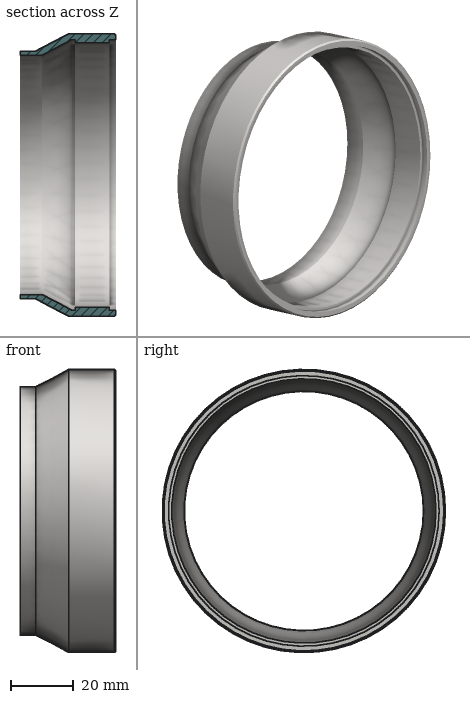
import cadquery as cq

total_length = 30.5

collar_diameter = 79.0
collar_length = 5.0
body_diameter = 90.0
body_start = 15.5
edge_chamfer = 0.5

narrow_bore_diameter = 76.0
narrow_bore_length = 7.0
relief_diameter = 86.0
relief_start = 16.5
relief_length = 1.0
wide_bore_diameter = 84.0
end_recess_diameter = 86.0
end_recess_length = 2.0

collar_radius = collar_diameter / 2
body_radius = body_diameter / 2
narrow_bore_radius = narrow_bore_diameter / 2
relief_radius = relief_diameter / 2
wide_bore_radius = wide_bore_diameter / 2
end_recess_radius = end_recess_diameter / 2
shoulder_x = relief_start + relief_length


def outer_body():
    """Solid of the outside shape: collar, cone, cylinder and chamfered wide end."""
    profile = [
        (0, 0),
        (0, collar_radius),
        (collar_length, collar_radius),
        (body_start, body_radius),
        (total_length - edge_chamfer, body_radius),
        (total_length, body_radius - edge_chamfer),
        (total_length, 0),
    ]
    return revolve_about_x(profile)


def inner_passage():
    """Solid of the opening: narrow bore, cone, relief groove, wide bore and end recess."""
    profile = [
        (0, 0),
        (0, narrow_bore_radius),
        (narrow_bore_length, narrow_bore_radius),
        (relief_start, relief_radius),
        (shoulder_x, relief_radius),
        (shoulder_x, wide_bore_radius),
        (total_length - end_recess_length, wide_bore_radius),
        (total_length - end_recess_length, end_recess_radius),
        (total_length, end_recess_radius),
        (total_length, 0),
    ]
    return revolve_about_x(profile)


def revolve_about_x(profile):
    """Revolve a closed (x, radius) profile one full turn about the X axis."""
    return cq.Workplane("XY").polyline(profile).close().revolve(360, (0, 0, 0), (1, 0, 0))


result = outer_body().cut(inner_passage())